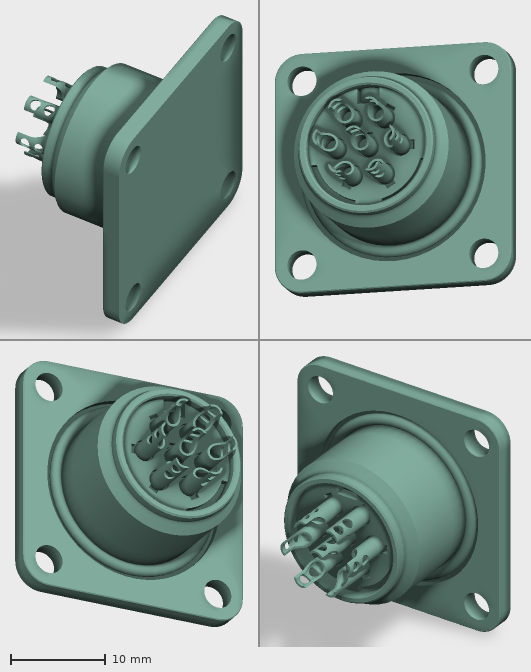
import cadquery as cq
import math

FLANGE_SIZE = 26.0
FLANGE_THICKNESS = 2.0
FLANGE_CORNER_RADIUS = 3.0
FLANGE_EDGE_CHAMFER = 0.1
MOUNT_HOLE_DIAMETER = 3.2
MOUNT_HOLE_SPACING = 20.0

BODY_RADIUS = 17.0 / 2
BODY_END_X = -10.5
NOSE_RADIUS = 14.8 / 2
NOSE_END_X = -12.85
NOSE_CHAMFER = 0.18

BORE_RADIUS = 13.1 / 2
BORE_DEPTH = 1.2
BORE_CHAMFER = 0.18
FLOOR_X = NOSE_END_X + BORE_DEPTH

SEAL_RADIUS = 0.62
SEAL_RING_RADIUS = 9.07
SEAL_PROTRUSION = 0.3
GROOVE_RADIUS = 20.4 / 2
SEAL_CENTRE_X = -FLANGE_THICKNESS - SEAL_PROTRUSION + SEAL_RADIUS
SEAL_SINK = 0.03
GROOVE_FLOOR_X = SEAL_CENTRE_X + SEAL_RADIUS - SEAL_SINK

PIN_TIP_X = -17.6
PIN_RADIUS = 2.0 / 2
PIN_CIRCLE_RADIUS = 3.5
PIN_ANGLES = (30, 90, 150, 210, 270, 330)
PIN_BORE_RADIUS = 1.5 / 2
PIN_BORE_DEPTH = 5.2
CUP_WALL_OFFSET = 0.5
CUP_FLAT_LENGTH = 1.45
CUP_END_LENGTH = 3.1
WIRE_HOLE_DIAMETER = 1.2
WIRE_HOLE_DISTANCES = (1.1, 2.78)

PIN_RECESS_RADIUS = 1.2
PIN_RECESS_DEPTH = 0.52
NOTCH_WIDTH = 1.07
NOTCH_REACH = 1.55
NOTCH_RAMP_RUN = 0.29

ARC_SLOT_INNER_RADIUS = 5.88
ARC_SLOT_DEPTH = 0.78
ARC_SLOT_TOP_Z = -1.59
ARC_SLOT_GAP = 2.85

KEY_POCKET_WIDTH = 2.5
KEY_POCKET_BOTTOM_Z = 4.78
KEY_POCKET_DEPTH = 2.08
KEY_WIDTH = 2.45
KEY_BOTTOM_Z = 4.91
KEY_ROUNDING = 0.95
KEY_CORNER_RADIUS = 0.65
KEY_SETBACK = 0.4


def disc(radius, start_x, end_x):
    """Cylinder on the connector axis between two X positions."""
    return cq.Workplane("YZ", origin=(start_x, 0, 0)).circle(radius).extrude(end_x - start_x)


def make_flange():
    plate = (
        cq.Workplane("YZ")
        .rect(FLANGE_SIZE, FLANGE_SIZE)
        .extrude(-FLANGE_THICKNESS)
        .edges("|X")
        .fillet(FLANGE_CORNER_RADIUS)
        .faces("<X")
        .chamfer(FLANGE_EDGE_CHAMFER)
    )
    holes = (
        cq.Workplane("YZ")
        .rect(MOUNT_HOLE_SPACING, MOUNT_HOLE_SPACING, forConstruction=True)
        .vertices()
        .circle(MOUNT_HOLE_DIAMETER / 2)
        .extrude(-FLANGE_THICKNESS)
    )
    groove = disc(GROOVE_RADIUS, -FLANGE_THICKNESS, GROOVE_FLOOR_X)
    groove = groove.cut(disc(SEAL_RING_RADIUS, SEAL_CENTRE_X, GROOVE_FLOOR_X))
    return plate.cut(holes).cut(groove)


def make_seal():
    return (
        cq.Workplane("XY")
        .center(SEAL_CENTRE_X, SEAL_RING_RADIUS)
        .circle(SEAL_RADIUS)
        .revolve(360, (0, -SEAL_RING_RADIUS), (1, -SEAL_RING_RADIUS))
    )


def make_body():
    """Turned body with a 45 degree shoulder, a chamfered nose and a shallow bore."""
    shoulder_end_x = BODY_END_X - (BODY_RADIUS - NOSE_RADIUS)
    return (
        cq.Workplane("XY")
        .moveTo(0, 0)
        .lineTo(0, BODY_RADIUS)
        .lineTo(BODY_END_X, BODY_RADIUS)
        .lineTo(shoulder_end_x, NOSE_RADIUS)
        .lineTo(NOSE_END_X + NOSE_CHAMFER, NOSE_RADIUS)
        .lineTo(NOSE_END_X, NOSE_RADIUS - NOSE_CHAMFER)
        .lineTo(NOSE_END_X, BORE_RADIUS + BORE_CHAMFER)
        .lineTo(NOSE_END_X + BORE_CHAMFER, BORE_RADIUS)
        .lineTo(FLOOR_X, BORE_RADIUS)
        .lineTo(FLOOR_X, 0)
        .close()
        .revolve(360, (0, 0), (1, 0))
    )


def make_arc_slots():
    """Two sunken arcs along the lower rim of the insert, parted by a plain gap."""
    end_x = FLOOR_X + ARC_SLOT_DEPTH
    ring = disc(BORE_RADIUS, FLOOR_X, end_x).cut(disc(ARC_SLOT_INNER_RADIUS, FLOOR_X, end_x))
    lower_height = BORE_RADIUS + ARC_SLOT_TOP_Z
    lower_zone = (
        cq.Workplane("YZ", origin=(FLOOR_X, 0, ARC_SLOT_TOP_Z - lower_height / 2))
        .rect(2 * BORE_RADIUS, lower_height)
        .extrude(ARC_SLOT_DEPTH)
    )
    gap = (
        cq.Workplane("YZ", origin=(FLOOR_X, 0, -BORE_RADIUS))
        .rect(ARC_SLOT_GAP, BORE_RADIUS)
        .extrude(ARC_SLOT_DEPTH)
    )
    return ring.intersect(lower_zone).cut(gap)


def make_key_pocket():
    """Pocket in the insert under the top of the bore, bounded above by the bore wall."""
    height = BORE_RADIUS - KEY_POCKET_BOTTOM_Z
    pocket = (
        cq.Workplane("YZ", origin=(FLOOR_X, 0, KEY_POCKET_BOTTOM_Z + height / 2))
        .rect(KEY_POCKET_WIDTH, height)
        .extrude(KEY_POCKET_DEPTH)
    )
    return pocket.intersect(disc(BORE_RADIUS, FLOOR_X, FLOOR_X + KEY_POCKET_DEPTH))


def make_key():
    """Round-nosed key that hangs from the bore wall inside the pocket."""
    front_x = FLOOR_X + KEY_SETBACK
    height = BORE_RADIUS + BORE_CHAMFER - KEY_BOTTOM_Z
    block = (
        cq.Workplane("YZ", origin=(front_x, 0, KEY_BOTTOM_Z + height / 2))
        .rect(KEY_WIDTH, height)
        .extrude(KEY_POCKET_DEPTH)
    )
    rounded_sides = block.edges("|Z and <X").fillet(KEY_ROUNDING)
    rounded_underside = block.edges("|Y and <X and <Z").fillet(KEY_ROUNDING)
    rounded_corners = block.edges("|X and <Z").fillet(KEY_CORNER_RADIUS)
    return rounded_sides.intersect(rounded_underside).intersect(rounded_corners)


def make_pin_recess(ramp_run):
    """Clearance around a pin on the axis, with a notch toward +Z whose end slopes by ramp_run."""
    recess = disc(PIN_RECESS_RADIUS, FLOOR_X, FLOOR_X + PIN_RECESS_DEPTH)
    notch = (
        cq.Workplane("XZ")
        .moveTo(FLOOR_X, 0)
        .lineTo(FLOOR_X, NOTCH_REACH)
        .lineTo(FLOOR_X + PIN_RECESS_DEPTH, NOTCH_REACH - ramp_run)
        .lineTo(FLOOR_X + PIN_RECESS_DEPTH, 0)
        .close()
        .extrude(NOTCH_WIDTH / 2, both=True)
    )
    return recess.union(notch)


def make_pin():
    """Solder-cup pin on the axis; its open side faces -Z and its wire holes face +Z."""
    pin = disc(PIN_RADIUS, PIN_TIP_X, FLOOR_X + PIN_RECESS_DEPTH)
    bore = disc(PIN_BORE_RADIUS, PIN_TIP_X, PIN_TIP_X + PIN_BORE_DEPTH)

    flat_end_x = PIN_TIP_X + CUP_FLAT_LENGTH
    run = CUP_END_LENGTH - CUP_FLAT_LENGTH
    rise = CUP_WALL_OFFSET + PIN_RADIUS
    arc_radius = (run**2 + rise**2) / (2 * rise)
    half_angle = math.asin(run / arc_radius) / 2
    arc_middle = (
        flat_end_x + arc_radius * math.sin(half_angle),
        CUP_WALL_OFFSET - arc_radius * (1 - math.cos(half_angle)),
    )
    opening = (
        cq.Workplane("XZ")
        .moveTo(PIN_TIP_X, CUP_WALL_OFFSET)
        .lineTo(flat_end_x, CUP_WALL_OFFSET)
        .threePointArc(arc_middle, (PIN_TIP_X + CUP_END_LENGTH, -PIN_RADIUS))
        .lineTo(PIN_TIP_X, -PIN_RADIUS)
        .close()
        .extrude(PIN_RADIUS, both=True)
    )
    wire_holes = (
        cq.Workplane("XY")
        .pushPoints([(PIN_TIP_X + distance, 0) for distance in WIRE_HOLE_DISTANCES])
        .circle(WIRE_HOLE_DIAMETER / 2)
        .extrude(PIN_RADIUS)
    )
    return pin.cut(bore).cut(opening).cut(wire_holes)


def place_on_circle(shape):
    """Copies of an on-axis shape around the pin circle, with its +Z side turned outward."""
    outward = shape.translate((0, 0, PIN_CIRCLE_RADIUS))
    return [outward.rotate((0, 0, 0), (1, 0, 0), angle) for angle in PIN_ANGLES]


result = make_flange().union(make_body()).union(make_seal())
result = result.cut(make_arc_slots()).cut(make_key_pocket()).union(make_key())

for pin_recess in [make_pin_recess(0), *place_on_circle(make_pin_recess(NOTCH_RAMP_RUN))]:
    result = result.cut(pin_recess)

centre_pin = make_pin()
for pin in [centre_pin, *place_on_circle(centre_pin)]:
    result = result.union(pin)